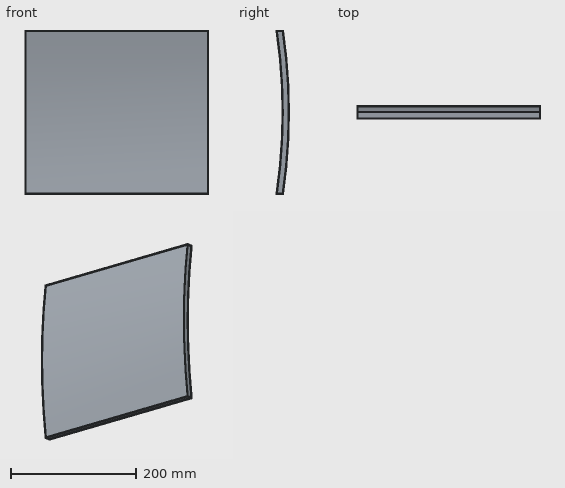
import cadquery as cq

width = 291.0
height = 260.0
thickness = 10.2
depth = 19.8
bow = depth - thickness

half_height = height / 2
front = -depth / 2
back_edge = front + thickness

profile = (
    cq.Workplane("YZ")
    .moveTo(front, -half_height)
    .threePointArc((front + bow, 0), (front, half_height))
    .lineTo(back_edge, half_height)
    .threePointArc((back_edge + bow, 0), (back_edge, -half_height))
    .close()
)

result = profile.extrude(width / 2, both=True)